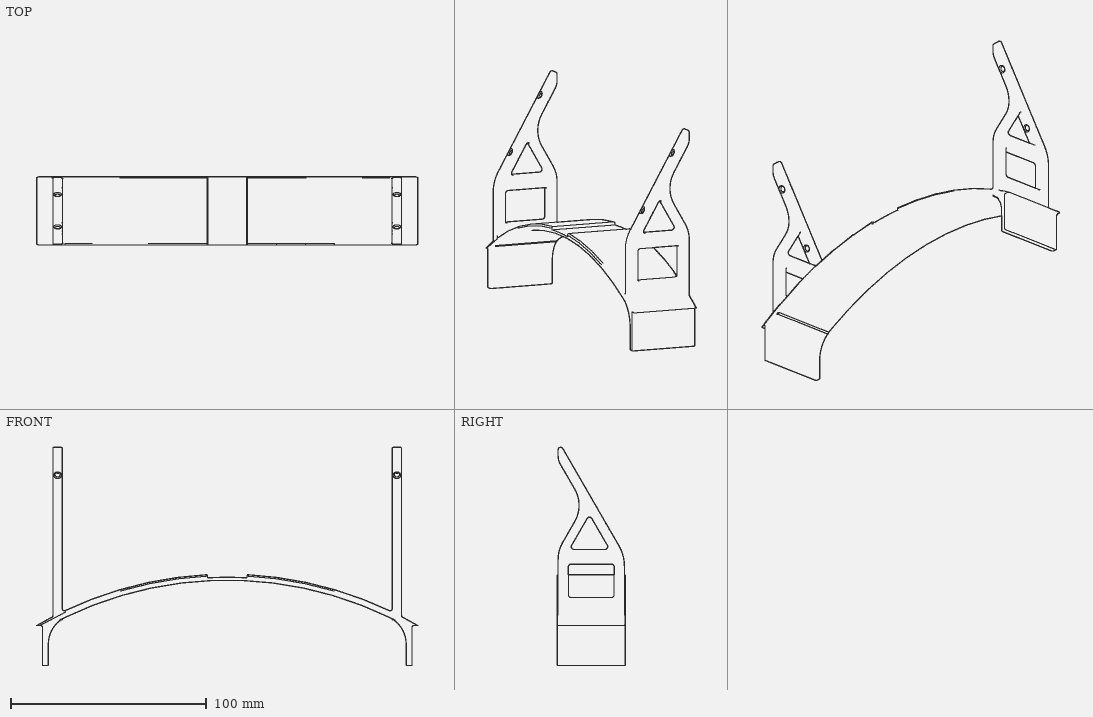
import cadquery as cq
import math

length = 195.0
width = 35.0
height = 111.62

crown_z = 46.8
lip_z = 20.4
arch_thickness = 3.2
pad_half_length = 9.9
pad_depth = 1.6
pad_wall_run = 0.5
top_edge_round = 0.8
under_edge_round = 1.3

leg_outer_x = 94.5
leg_thickness = 3.1
leg_corner_radius = 15.0
leg_toe_round = 0.6
lip_corner_round = 0.6

mast_center_x = 86.7
mast_thickness = 4.9
mast_half_width = 17.0
mast_round = 0.7
opening_round = 0.45
mast_foot_round = 1.0
slope = math.radians(60.0)
arm_width = 5.2
waist_z = 81.9
shoulder_radius = 20.0
hip_radius = 17.0
waist_radius = 16.5
elbow_radius = 8.0
tip_radius = 1.35

window_half_width = 11.7
window_bottom_z = 34.8
window_top_z = 51.8
triangle_base_z = 59.4
triangle_side = 20.5
triangle_center_y = -0.9
opening_corner_radius = 1.35

pin_hole_diameter = 2.7
pin_hole_depth = 6.5
countersink = 0.6
pin_hole_outer_ys = (-8.1, 8.4)

half_length = length / 2
rise = crown_z - lip_z
outer_radius = (half_length**2 + rise**2) / (2 * rise)
inner_radius = outer_radius - arch_thickness
arch_center_z = crown_z - outer_radius
leg_inner_x = leg_outer_x - leg_thickness


def arc_z(radius, x):
    """Height of a circle about the arch centre at a given X."""
    return arch_center_z + math.sqrt(radius**2 - x**2)


def round_edge_at(body, point, radius):
    """Round the edge whose centre lies nearest to the point."""
    return body.edges(cq.selectors.NearestToPointSelector(point)).fillet(radius)


def make_arch():
    """Arch with pointed lips and two legs, extruded across the width."""
    inner_start_z = arc_z(inner_radius, leg_inner_x)
    body = (
        cq.Workplane("XZ", origin=(0, width / 2, 0))
        .moveTo(-half_length, lip_z)
        .threePointArc((0, crown_z), (half_length, lip_z))
        .lineTo(leg_outer_x, lip_z)
        .lineTo(leg_outer_x, 0)
        .lineTo(leg_inner_x, 0)
        .lineTo(leg_inner_x, inner_start_z)
        .threePointArc((0, arch_center_z + inner_radius), (-leg_inner_x, inner_start_z))
        .lineTo(-leg_inner_x, 0)
        .lineTo(-leg_outer_x, 0)
        .lineTo(-leg_outer_x, lip_z)
        .close()
        .extrude(width)
    )
    for side in (-1, 1):
        body = round_edge_at(body, (side * leg_inner_x, 0, inner_start_z), leg_corner_radius)
        body = round_edge_at(body, (side * leg_outer_x, 0, lip_z), lip_corner_round)

    upper_middle_z = crown_z - rise / 3
    lower_middle_z = upper_middle_z - arch_thickness
    for y in (-width / 2, width / 2):
        body = round_edge_at(body, (0, y, lower_middle_z), under_edge_round)
        body = round_edge_at(body, (0, y, upper_middle_z), top_edge_round)
    for side in (-1, 1):
        body = round_edge_at(body, (side * leg_inner_x, 0, 0), leg_toe_round)
    return body


def make_pad_cutter():
    """Block with an arched underside that sinks the pad into the crown."""
    floor_radius = outer_radius - pad_depth
    edge_z = arc_z(floor_radius, pad_half_length)
    return (
        cq.Workplane("XZ", origin=(0, width / 2, 0))
        .moveTo(-pad_half_length, edge_z)
        .threePointArc((0, arch_center_z + floor_radius), (pad_half_length, edge_z))
        .lineTo(pad_half_length + pad_wall_run, crown_z)
        .lineTo(-pad_half_length - pad_wall_run, crown_z)
        .close()
        .extrude(width)
    )


def make_mast(side):
    """Leaning mast with a rectangular and a triangular opening."""
    rise_per_y = math.tan(slope)
    tip_z = height + tip_radius * (1 / math.tan((math.pi / 2 - slope) / 2) - 1)
    shoulder_z = tip_z - 2 * mast_half_width * rise_per_y
    arm_drop = arm_width / math.cos(slope)
    elbow_z = tip_z - arm_drop
    waist_y = -mast_half_width + (elbow_z - waist_z) / rise_per_y
    hip_z = waist_z - (elbow_z - waist_z)
    foot_z = arc_z(outer_radius - arch_thickness / 2, mast_center_x + mast_thickness / 2)

    corners = [
        (mast_half_width, shoulder_z, shoulder_radius),
        (-mast_half_width, tip_z, tip_radius),
        (-mast_half_width, elbow_z, elbow_radius),
        (waist_y, waist_z, waist_radius),
        (-mast_half_width, hip_z, hip_radius),
    ]
    outline = [(y, z) for y, z, _ in corners]
    outline = [(mast_half_width, foot_z)] + outline + [(-mast_half_width, foot_z)]
    start_x = side * mast_center_x - mast_thickness / 2
    mast = cq.Workplane("YZ", origin=(start_x, 0, 0)).polyline(outline).close().extrude(mast_thickness)
    for y, z, radius in corners:
        mast = round_edge_at(mast, (side * mast_center_x, y, z), radius)
    mast = mast.faces("<X or >X").edges().fillet(mast_round)

    triangle_apex_z = triangle_base_z + triangle_side * math.sin(slope)
    triangle = [
        (triangle_center_y - triangle_side / 2, triangle_base_z),
        (triangle_center_y + triangle_side / 2, triangle_base_z),
        (triangle_center_y, triangle_apex_z),
    ]
    window = [
        (-window_half_width, window_bottom_z),
        (window_half_width, window_bottom_z),
        (window_half_width, window_top_z),
        (-window_half_width, window_top_z),
    ]
    for opening in (triangle, window):
        cutter = cq.Workplane("YZ", origin=(start_x, 0, 0)).polyline(opening).close().extrude(mast_thickness)
        mast = mast.cut(cutter.edges("|X").fillet(opening_corner_radius))
    margin = 1.0
    rims = cq.selectors.BoxSelector(
        (start_x - margin, -window_half_width - margin, window_bottom_z - margin),
        (start_x + mast_thickness + margin, window_half_width + margin, triangle_apex_z),
    )
    mast = mast.faces("<X or >X").edges(rims).fillet(opening_round)

    for y in pin_hole_outer_ys:
        mouth = cq.Vector(side * mast_center_x, y, shoulder_z + (mast_half_width - y) * rise_per_y)
        mast = mast.cut(make_pin_hole(mouth))
    return mast


def make_pin_hole(mouth):
    """Bore square to the arm, flared at both faces of the arm."""
    inward = cq.Vector(0, -math.sin(slope), -math.cos(slope))
    exit_point = mouth + inward * arm_width
    bore_radius = pin_hole_diameter / 2
    mouth_radius = bore_radius + countersink
    bore = cq.Solid.makeCylinder(bore_radius, pin_hole_depth, mouth, inward)
    outer_flare = cq.Solid.makeCone(mouth_radius, bore_radius, countersink, mouth, inward)
    inner_flare = cq.Solid.makeCone(mouth_radius, bore_radius, countersink, exit_point, inward * -1)
    return cq.Workplane(bore).union(cq.Workplane(outer_flare)).union(cq.Workplane(inner_flare))


def round_mast_foot(body, side):
    """Blend the inward face of a mast into the top of the arch."""
    x = side * (mast_center_x - mast_thickness / 2)
    return round_edge_at(body, (x, 0, arc_z(outer_radius, x)), mast_foot_round)


result = make_arch().cut(make_pad_cutter())
for mast_side in (-1, 1):
    result = result.union(make_mast(mast_side))
    result = round_mast_foot(result, mast_side)